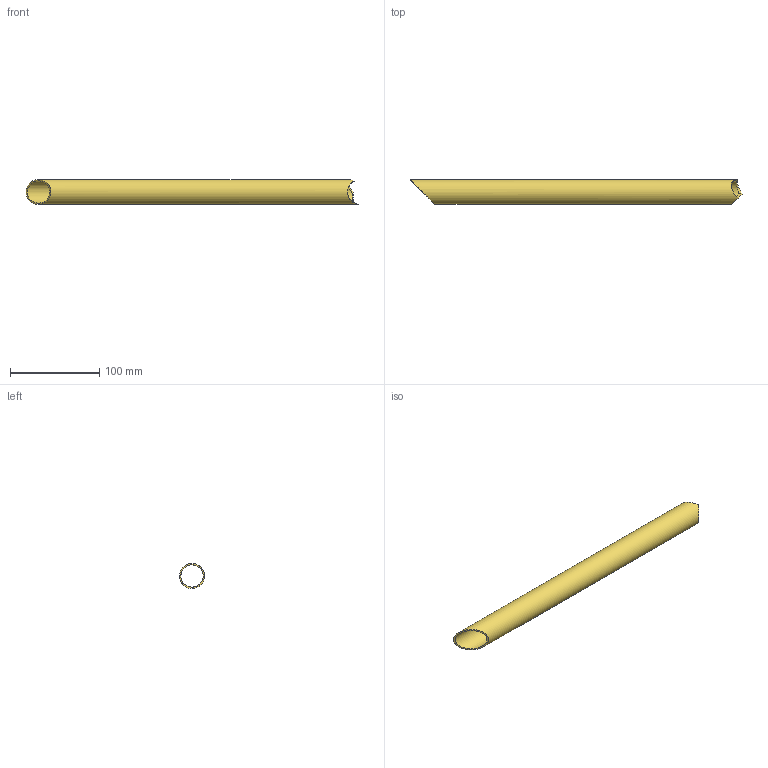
import cadquery as cq
import math

node_spacing = 360.55
outer_diameter = 28.0
wall = 1.5

front_tube = {"tilt": 0.0, "side": 180.0}
upper_tube = {"tilt": -1.5, "side": 57.0}
lower_tube = {"tilt": 31.0, "side": -26.6}

outer_radius = outer_diameter / 2
cutter_length = 4 * outer_diameter


def tube_stock():
    """Plain tube along X, long enough for the near miter and ending at the far node."""
    section = cq.Plane(origin=(-outer_diameter, 0, 0), xDir=(0, 0, 1), normal=(1, 0, 0))
    return (
        cq.Workplane(section)
        .circle(outer_radius)
        .circle(outer_radius - wall)
        .extrude(node_spacing + outer_diameter)
    )


def miter_cutter():
    """Block beyond the 45 degree miter through the near node, where the +Y side is longest."""
    plane = cq.Plane(origin=(0, 0, 0), normal=(-1, -1, 0))
    return cq.Workplane(plane).rect(cutter_length, cutter_length).extrude(cutter_length)


def cope_cutter(tilt, side):
    """Solid cylinder with the outside size of a neighbouring tube, starting at the far node."""
    tilt_angle = math.radians(tilt)
    side_angle = math.radians(side)
    direction = (
        math.sin(tilt_angle),
        math.cos(tilt_angle) * math.cos(side_angle),
        math.cos(tilt_angle) * math.sin(side_angle),
    )
    plane = cq.Plane(origin=(node_spacing, 0, 0), normal=direction)
    return cq.Workplane(plane).circle(outer_radius).extrude(cutter_length)


result = tube_stock().cut(miter_cutter())
for neighbour in (front_tube, upper_tube, lower_tube):
    result = result.cut(cope_cutter(**neighbour))